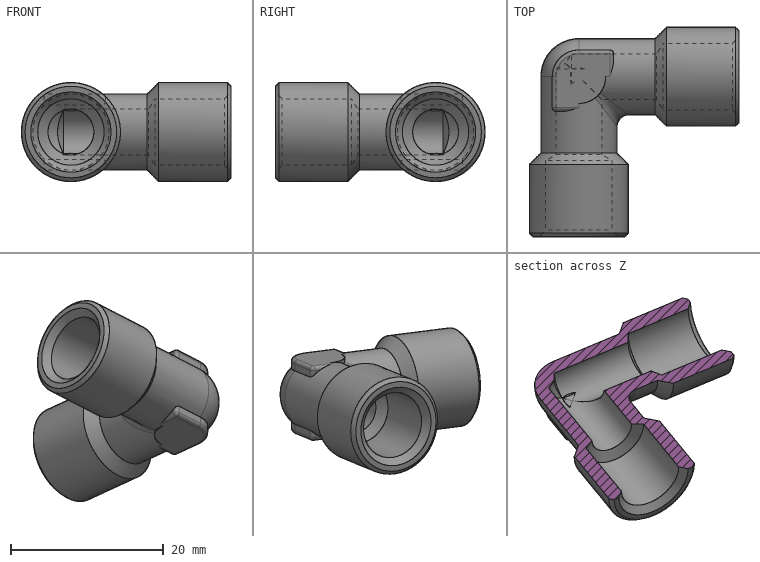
import cadquery as cq
import math


tube_radius = 5.0
socket_radius = 6.5
arm_length = 21.0
shoulder_start = 10.0
shoulder_end = shoulder_start + (socket_radius - tube_radius)
rim_chamfer = 0.5
inner_corner_radius = 1.5

socket_bore_radius = 4.35
socket_bore_depth = 10.0
mouth_radius = 5.25
mouth_depth = mouth_radius - socket_bore_radius
passage_radius = 3.0
passage_overrun = 1.0
drill_half_angle = math.radians(59)

pad_half_width = 3.5
pad_reach = 4.55
pad_fillet = 0.5


def drill_tip_length(radius):
    """Axial length over which a drill point closes the given radius."""
    return radius / math.tan(drill_half_angle)


def revolve_about_x(points):
    return cq.Workplane("XY").polyline(points).close().revolve(360, (0, 0, 0), (1, 0, 0))


def to_minus_y(body):
    """Mirror image of an X arm body as the -Y arm."""
    return body.rotate((0, 0, 0), (0, 0, 1), 90).mirror("XZ")


def arm_outside():
    return revolve_about_x([
        (0, 0),
        (0, tube_radius),
        (shoulder_start, tube_radius),
        (shoulder_end, socket_radius),
        (arm_length - rim_chamfer, socket_radius),
        (arm_length, socket_radius - rim_chamfer),
        (arm_length, 0),
    ])


def arm_cavity():
    bore_end = arm_length - socket_bore_depth
    step_length = drill_tip_length(socket_bore_radius - passage_radius)
    return revolve_about_x([
        (-passage_overrun - drill_tip_length(passage_radius), 0),
        (-passage_overrun, passage_radius),
        (bore_end - step_length, passage_radius),
        (bore_end, socket_bore_radius),
        (arm_length - mouth_depth, socket_bore_radius),
        (arm_length, mouth_radius),
        (arm_length, 0),
    ])


def upper_pad():
    """Pad flush with the tube crests: rounded outer corner, concentric inner corner."""
    diagonal = pad_half_width * math.sqrt(0.5)
    pad = (
        cq.Workplane("XY")
        .moveTo(-pad_half_width, -pad_reach)
        .lineTo(0, -pad_reach)
        .lineTo(0, -pad_half_width)
        .threePointArc((diagonal, -diagonal), (pad_half_width, 0))
        .lineTo(pad_reach, 0)
        .lineTo(pad_reach, pad_half_width)
        .lineTo(0, pad_half_width)
        .threePointArc((-diagonal, diagonal), (-pad_half_width, 0))
        .close()
        .extrude(tube_radius)
    )
    end_corners = [(-pad_half_width, -pad_reach), (pad_reach, pad_half_width)]
    for x, y in end_corners:
        nearest_edge = cq.selectors.NearestToPointSelector((x, y, tube_radius / 2))
        pad = pad.edges(nearest_edge).fillet(pad_fillet)
    outer_rim = cq.selectors.NearestToPointSelector((-diagonal, diagonal, tube_radius))
    return pad.edges(outer_rim).fillet(pad_fillet)


def round_inner_corner(body):
    """Fillet the crease where the two tubes meet on the inside of the bend."""
    crease = cq.selectors.NearestToPointSelector((tube_radius, -tube_radius, 0))
    return body.edges(crease).fillet(inner_corner_radius)


outside = arm_outside().union(to_minus_y(arm_outside()))
outside = outside.union(cq.Workplane("XY").sphere(tube_radius))
outside = outside.union(upper_pad()).union(upper_pad().mirror("XY"))
outside = round_inner_corner(outside)

result = outside.cut(arm_cavity()).cut(to_minus_y(arm_cavity()))